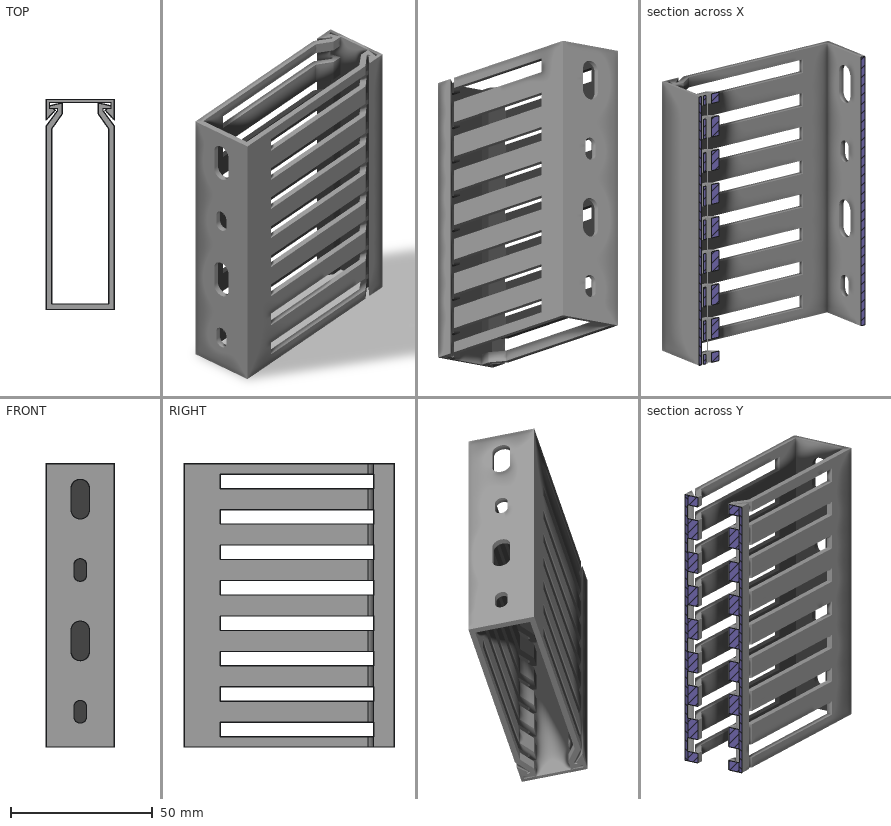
import cadquery as cq

WIDTH = 24.0
DEPTH = 74.2
LENGTH = 100.0
HALF_WIDTH = WIDTH / 2

WALL = 2.0
SHOULDER_Y = -9.4
NECK_Y = -4.1
NECK_HALF_WIDTH = 8.1
NECK_THICKNESS = 1.8
INNER_BEND_DROP = 1.0

COVER_THICKNESS = 1.2
COVER_SKIRT_Y = -7.3
LEDGE_Y = -3.3
LEDGE_HALF_WIDTH = 9.4
LEDGE_TIP_X = 8.8
LEDGE_TIP_Y = -3.9

HOOK_TOP_Y = -COVER_THICKNESS
HOOK_END_Y = -2.3

SLOT_COUNT = 8
SLOT_PITCH = LENGTH / SLOT_COUNT
SLOT_HEIGHT = 5.0
SLOT_FLOOR_Y = -61.4

HOLE_COUNT = 4
HOLE_PITCH = LENGTH / HOLE_COUNT
SMALL_HOLE_LENGTH = 8.0
SMALL_HOLE_WIDTH = 4.5
LARGE_HOLE_LENGTH = 14.0
LARGE_HOLE_WIDTH = 6.5

COVER_INNER_HALF_WIDTH = HALF_WIDTH - COVER_THICKNESS


def extrude_symmetric(right_half):
    """Mirror the +X half of an outline about the YZ plane and extrude the whole along Z."""
    left_half = [(-x, y) for x, y in reversed(right_half)]
    return cq.Workplane("XY").polyline(right_half + left_half).close().extrude(LENGTH)


def make_blank():
    """U-shaped channel with inward necks that end in outward hooks."""
    right_half = [
        (HALF_WIDTH, -DEPTH),
        (HALF_WIDTH, SHOULDER_Y),
        (NECK_HALF_WIDTH, NECK_Y),
        (NECK_HALF_WIDTH, LEDGE_Y),
        (COVER_INNER_HALF_WIDTH, LEDGE_Y),
        (COVER_INNER_HALF_WIDTH, HOOK_END_Y),
        (NECK_HALF_WIDTH - NECK_THICKNESS, HOOK_TOP_Y),
        (NECK_HALF_WIDTH - NECK_THICKNESS, NECK_Y - INNER_BEND_DROP),
        (HALF_WIDTH - WALL, SHOULDER_Y - INNER_BEND_DROP),
        (HALF_WIDTH - WALL, -DEPTH + WALL),
    ]
    return extrude_symmetric(right_half)


def make_finger_slots():
    """Cutters across both walls, open at the hook end."""
    slots = cq.Workplane("XY")
    for index in range(SLOT_COUNT):
        slot = cq.Workplane("XY").box(WIDTH, -SLOT_FLOOR_Y, SLOT_HEIGHT)
        slots = slots.add(slot.translate((0, SLOT_FLOOR_Y / 2, (index + 0.5) * SLOT_PITCH)))
    return slots.combine()


def make_mounting_holes(length, width, first_z):
    """Two obround cutters through the base, elongated along Z."""
    centres = [(0, first_z), (0, first_z + 2 * HOLE_PITCH)]
    return (
        cq.Workplane("XZ", origin=(0, -DEPTH + WALL, 0))
        .pushPoints(centres)
        .slot2D(length, width, 90)
        .extrude(WALL)
    )


def make_channel():
    small_holes = make_mounting_holes(SMALL_HOLE_LENGTH, SMALL_HOLE_WIDTH, HOLE_PITCH / 2)
    large_holes = make_mounting_holes(LARGE_HOLE_LENGTH, LARGE_HOLE_WIDTH, HOLE_PITCH * 3 / 2)
    return make_blank().cut(make_finger_slots()).cut(small_holes).cut(large_holes)


def make_cover():
    """Snap-on cover whose sides carry ledges that catch behind the hooks."""
    right_half = [
        (HALF_WIDTH, 0),
        (HALF_WIDTH, COVER_SKIRT_Y),
        (LEDGE_TIP_X, LEDGE_TIP_Y),
        (LEDGE_HALF_WIDTH, LEDGE_Y),
        (COVER_INNER_HALF_WIDTH, LEDGE_Y),
        (COVER_INNER_HALF_WIDTH, -COVER_THICKNESS),
    ]
    return extrude_symmetric(right_half)


channel = make_channel()
cover = make_cover()

result = cq.Compound.makeCompound([channel.val(), cover.val()])